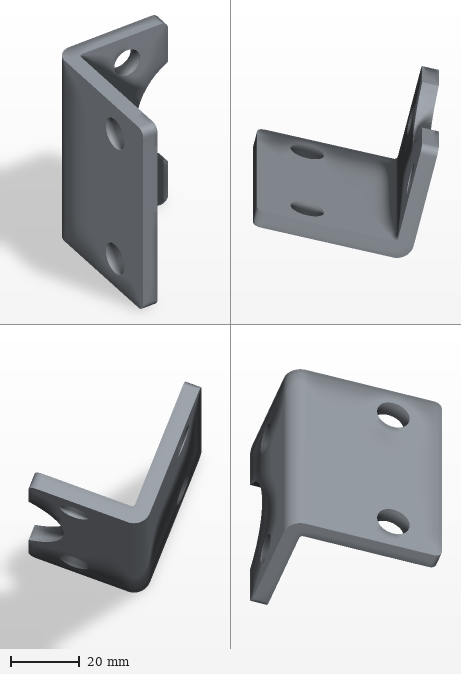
import cadquery as cq

base_length = 47.0
side_length = 36.0
height = 65.0
thickness = 5.0

bend_outer_radius = thickness
bend_inner_radius = 1.0
corner_radius = 2.5

base_hole_diameter = 10.0
base_hole_x = 32.0
base_hole_spacing = 45.0

clearance_radius = 20.0
clearance_center_y = 45.0

side_hole_diameter = 9.0
side_hole_spacing = 46.4
side_hole_y = clearance_center_y - side_hole_spacing / 2

mid_height = height / 2

cutter_length = 3 * thickness


def cylinder_along_x(diameter, y, z):
    """Cutter through the side leg only."""
    return (
        cq.Workplane("YZ", origin=(-thickness, 0, 0))
        .center(y, z)
        .circle(diameter / 2)
        .extrude(cutter_length)
    )


def cylinder_along_y(diameter, x, z):
    """Cutter through the base leg only."""
    return (
        cq.Workplane("XZ", origin=(0, 2 * thickness, 0))
        .center(x, z)
        .circle(diameter / 2)
        .extrude(cutter_length)
    )


def bent_plate():
    """L-shaped profile with a rounded bend and rounded free corners."""
    plate = (
        cq.Workplane("XY")
        .moveTo(0, 0)
        .lineTo(base_length, 0)
        .lineTo(base_length, thickness)
        .lineTo(thickness, thickness)
        .lineTo(thickness, side_length)
        .lineTo(0, side_length)
        .close()
        .extrude(height)
    )
    plate = plate.edges(cq.NearestToPointSelector((0, 0, mid_height))).fillet(bend_outer_radius)
    inner_bend = cq.NearestToPointSelector((thickness, thickness, mid_height))
    plate = plate.edges(inner_bend).fillet(bend_inner_radius)
    plate = plate.faces(">X").edges("|Y").fillet(corner_radius)
    return plate.faces(">Y").edges("|X").fillet(corner_radius)


result = bent_plate()

for side in (-1, 1):
    base_hole_z = mid_height + side * base_hole_spacing / 2
    side_hole_z = mid_height + side * side_hole_spacing / 2
    result = result.cut(cylinder_along_y(base_hole_diameter, base_hole_x, base_hole_z))
    result = result.cut(cylinder_along_x(side_hole_diameter, side_hole_y, side_hole_z))

result = result.cut(cylinder_along_x(2 * clearance_radius, clearance_center_y, mid_height))